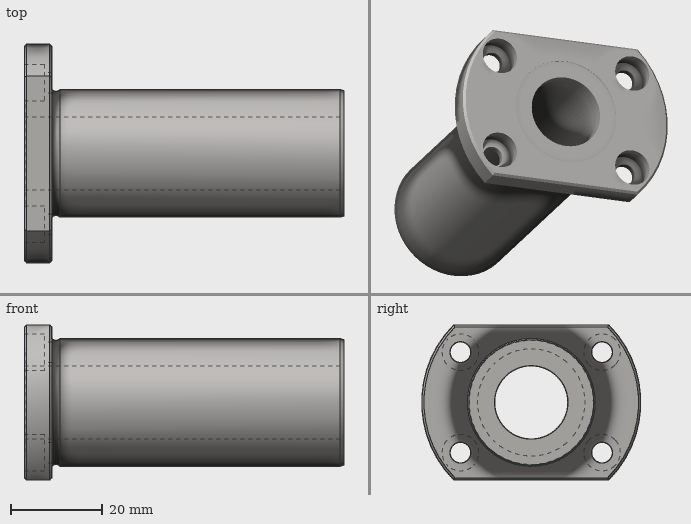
import cadquery as cq

TOTAL_LENGTH = 70.0
BODY_DIAMETER = 28.0
BORE_DIAMETER = 16.0

FLANGE_DIAMETER = 48.0
FLANGE_HEIGHT = 34.0
FLANGE_THICKNESS = 6.0
FLANGE_CHAMFER = 0.5

NECK_DIAMETER = 27.2
GROOVE_WIDTH = 1.8

LEAD_LENGTH = 0.9
LEAD_DEPTH = 0.3

RECESS_DIAMETER = 23.5
RECESS_DEPTH = 0.1

HOLE_DIAMETER = 4.5
COUNTERBORE_DIAMETER = 8.0
COUNTERBORE_DEPTH = 4.4
HOLE_SPACING_Y = 31.0
HOLE_SPACING_Z = 22.0


def make_flange():
    """Disc along X, cut to two horizontal flats and chamfered on both rims."""
    disc = cq.Workplane("YZ").circle(FLANGE_DIAMETER / 2).extrude(FLANGE_THICKNESS)
    slab = cq.Workplane("YZ").rect(FLANGE_DIAMETER, FLANGE_HEIGHT).extrude(FLANGE_THICKNESS)
    flange = disc.intersect(slab)
    return flange.faces("<X or >X").edges().chamfer(FLANGE_CHAMFER)


def make_body():
    """Revolved sleeve with the relief groove and the lead-in chamfer."""
    body_radius = BODY_DIAMETER / 2
    neck_radius = NECK_DIAMETER / 2
    groove_end = FLANGE_THICKNESS + GROOVE_WIDTH
    groove_middle = FLANGE_THICKNESS + GROOVE_WIDTH / 2
    profile = (
        cq.Workplane("XY")
        .lineTo(0, body_radius)
        .lineTo(FLANGE_THICKNESS, body_radius)
        .threePointArc((groove_middle, neck_radius), (groove_end, body_radius))
        .lineTo(TOTAL_LENGTH - LEAD_LENGTH, body_radius)
        .lineTo(TOTAL_LENGTH, body_radius - LEAD_DEPTH)
        .lineTo(TOTAL_LENGTH, 0)
        .close()
    )
    return profile.revolve(360, (0, 0, 0), (1, 0, 0))


def make_mounting_holes():
    """Four through holes with counterbores opening on the flange face."""

    def drill(diameter, depth):
        layout = cq.Workplane("YZ").rarray(HOLE_SPACING_Y, HOLE_SPACING_Z, 2, 2)
        return layout.circle(diameter / 2).extrude(depth)

    through_holes = drill(HOLE_DIAMETER, FLANGE_THICKNESS)
    counterbores = drill(COUNTERBORE_DIAMETER, COUNTERBORE_DEPTH)
    return through_holes.union(counterbores)


def make_bore():
    """Through bore with the shallow recess at its flange end."""
    bore = cq.Workplane("YZ").circle(BORE_DIAMETER / 2).extrude(TOTAL_LENGTH)
    recess = cq.Workplane("YZ").circle(RECESS_DIAMETER / 2).extrude(RECESS_DEPTH)
    return bore.union(recess)


result = make_flange().union(make_body()).cut(make_bore()).cut(make_mounting_holes())